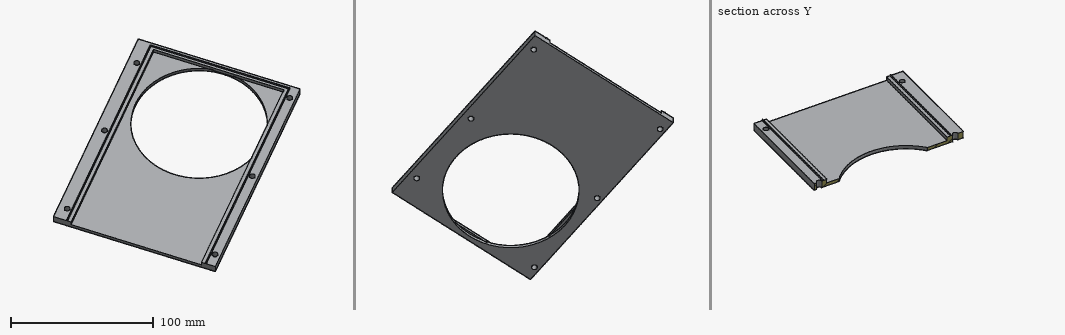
import cadquery as cq

width = 122.0
length = 166.5
total_height = 7.0
ridge_height = 1.0
plate_height = total_height - ridge_height
floor_height = 3.0

pocket_left = -47.6
pocket_right = 50.6
pocket_back = 78.5

side_ledge_width = 2.7
back_ledge_width = 1.8
ridge_width = 1.0

opening_diameter = 96.0
opening_x = 4.7
opening_y = 31.8

screw_diameter = 4.0
left_screw_x = -54.5
right_screw_x = 57.0
screw_end_y = 73.3
left_back_screw_y = 63.3
left_screws = [(left_screw_x, y) for y in (-screw_end_y, 0, left_back_screw_y)]
right_screws = [(right_screw_x, y) for y in (-screw_end_y, 0, screw_end_y)]

plate = cq.Workplane("XY").box(width, length, plate_height, centered=(True, True, False))

front = -length / 2
side_crest_offset = side_ledge_width + ridge_width / 2
crest_left = pocket_left - side_crest_offset
crest_right = pocket_right + side_crest_offset
crest_back = pocket_back + back_ledge_width + ridge_width / 2
ridge_path = cq.Workplane("XY", origin=(0, 0, plate_height)).polyline(
    [
        (crest_left, front),
        (crest_left, crest_back),
        (crest_right, crest_back),
        (crest_right, front),
    ]
)
ridge = (
    cq.Workplane("XZ", origin=(crest_left, front, plate_height))
    .polyline([(-ridge_width / 2, 0), (ridge_width / 2, 0), (0, ridge_height)])
    .close()
    .sweep(ridge_path, transition="right")
)

pocket = (
    cq.Workplane("XY")
    .box(pocket_right - pocket_left, pocket_back - front, plate_height - floor_height, centered=False)
    .translate((pocket_left, front, floor_height))
)

opening = (
    cq.Workplane("XY")
    .center(opening_x, opening_y)
    .circle(opening_diameter / 2)
    .extrude(floor_height)
)

screw_holes = (
    cq.Workplane("XY")
    .pushPoints(left_screws + right_screws)
    .circle(screw_diameter / 2)
    .extrude(plate_height)
)

result = plate.union(ridge).cut(pocket).cut(opening).cut(screw_holes)